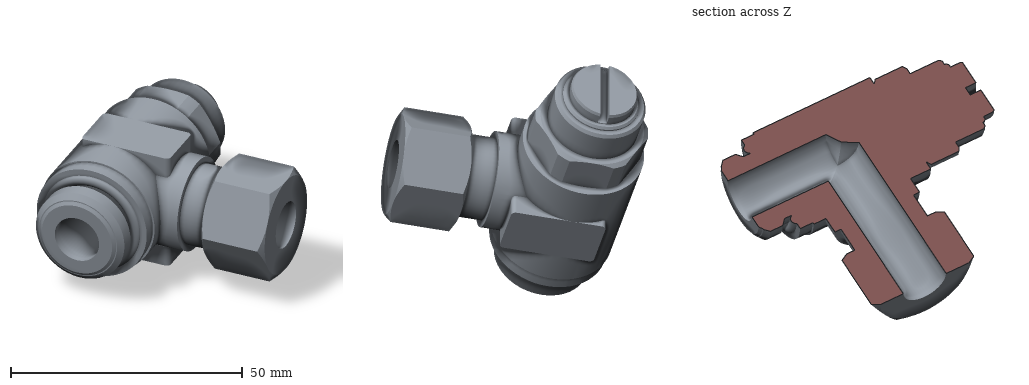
import cadquery as cq
import math

total_length = 59.05
total_width = 51.95
front_end = -24.2
back_end = front_end + total_length

body_diameter = 27.0
body_radius = body_diameter / 2
body_front = -13.45
body_back = 15.5
collar_radius = 13.05
collar_front = -16.6

seal_radius = 11.5
seal_height = 0.75

neck_radius = 9.15
thread_radius = 10.5
runout_start = -18.25
thread_back = -19.4
thread_front = -22.55
lead_in_end = -23.7
lead_in_radius = 9.25
tip_back_radius = 9.05
tip_front_radius = 8.3

bonnet_flats = 23.0
bonnet_round_radius = 12.5
bonnet_hex_back = 23.55

sleeve_radius = 10.1
sleeve_back = 31.15
sleeve_chamfer_width = 0.55
sleeve_chamfer_length = 0.65
ring_radius = 8.5
ring_height = 0.8
ring_chamfer = 0.5
screw_radius = 7.3
screw_chamfer_width = 0.3
screw_chamfer_length = 0.6
slot_width = 2.0
slot_depth = 2.6

port_collar_radius = 10.5
port_collar_end = 17.5
port_tube_radius = 9.05
nut_start = 23.5
nut_flats = 22.0
nut_end = total_width - body_radius
corner_bevel_angle = 30.0

pad_left = -7.45
pad_right = body_radius
pad_width = 11.9
pad_inner_height = 8.75
pad_corner_radius = 1.0

bore_radius = 5.25
drill_point_angle = 118.0


def cylinder_x(radius, start, end):
    return cq.Workplane("YZ", origin=(start, 0, 0)).circle(radius).extrude(end - start)


def beveled_hexagon(flats, round_radius, length):
    """Hexagon along +Z, flats facing +-Y, corners cut round and beveled at both ends."""
    face_radius = flats / 2
    bevel_length = (round_radius - face_radius) * math.tan(math.radians(corner_bevel_angle))
    prism = cq.Workplane("XY").polygon(6, flats / math.cos(math.pi / 6)).extrude(length)
    envelope = (
        cq.Workplane("XZ")
        .moveTo(0, 0)
        .lineTo(face_radius, 0)
        .lineTo(round_radius, bevel_length)
        .lineTo(round_radius, length - bevel_length)
        .lineTo(face_radius, length)
        .lineTo(0, length)
        .close()
        .revolve(360, (0, 0, 0), (0, 1, 0))
    )
    return prism.intersect(envelope)


def turned_body():
    """Everything round about the Y axis, revolved from one half outline."""
    ring_back = sleeve_back + ring_height
    seal_crest_radius = (neck_radius + seal_radius) / 2
    return (
        cq.Workplane("XY")
        .moveTo(0, front_end)
        .lineTo(tip_front_radius, front_end)
        .lineTo(tip_back_radius, lead_in_end)
        .lineTo(lead_in_radius, lead_in_end)
        .lineTo(thread_radius, thread_front)
        .lineTo(thread_radius, thread_back)
        .lineTo(neck_radius, runout_start)
        .lineTo(neck_radius, collar_front)
        .threePointArc((seal_crest_radius, collar_front - seal_height), (seal_radius, collar_front))
        .lineTo(collar_radius, collar_front)
        .lineTo(collar_radius, body_front)
        .lineTo(body_radius, body_front)
        .lineTo(body_radius, body_back)
        .lineTo(sleeve_radius, body_back)
        .lineTo(sleeve_radius, sleeve_back - sleeve_chamfer_length)
        .lineTo(sleeve_radius - sleeve_chamfer_width, sleeve_back)
        .lineTo(ring_radius, sleeve_back)
        .lineTo(ring_radius, ring_back - ring_chamfer)
        .lineTo(ring_radius - ring_chamfer, ring_back)
        .lineTo(screw_radius, ring_back)
        .lineTo(screw_radius, back_end - screw_chamfer_length)
        .lineTo(screw_radius - screw_chamfer_width, back_end)
        .lineTo(0, back_end)
        .close()
        .revolve(360, (0, 0, 0), (0, 1, 0))
    )


def bonnet_hexagon():
    """Hexagon on the Y axis behind the barrel, with flats facing +-Z."""
    length = bonnet_hex_back - body_back
    hexagon = beveled_hexagon(bonnet_flats, bonnet_round_radius, length)
    return hexagon.rotate((0, 0, 0), (1, 0, 0), -90).translate((0, body_back, 0))


def union_nut():
    """Sharp-cornered hexagon on the X axis, with flats facing +-Z."""
    corner_radius = nut_flats / 2 / math.cos(math.pi / 6)
    nut = beveled_hexagon(nut_flats, corner_radius, nut_end - nut_start)
    nut = nut.rotate((0, 0, 0), (0, 0, 1), 90).rotate((0, 0, 0), (0, 1, 0), 90)
    return nut.translate((nut_start, 0, 0))


def side_port():
    collar = cylinder_x(port_collar_radius, 0, port_collar_end)
    tube = cylinder_x(port_tube_radius, 0, nut_start)
    return collar.union(tube).union(union_nut())


def pad():
    """Upper pad, level with the top of the barrel."""
    return (
        cq.Workplane("XY", origin=((pad_left + pad_right) / 2, 0, pad_inner_height))
        .rect(pad_right - pad_left, pad_width)
        .extrude(body_radius - pad_inner_height)
        .edges("|Z")
        .fillet(pad_corner_radius)
    )


def drilled_hole(depth):
    """Drill along +Z: its conical point lies below the XY plane, its full diameter above."""
    point_length = bore_radius / math.tan(math.radians(drill_point_angle / 2))
    return (
        cq.Workplane("XZ")
        .moveTo(0, -point_length)
        .lineTo(bore_radius, 0)
        .lineTo(bore_radius, depth)
        .lineTo(0, depth)
        .close()
        .revolve(360, (0, 0, 0), (0, 1, 0))
    )


def screwdriver_slot():
    return (
        cq.Workplane("XY", origin=(0, back_end - slot_depth / 2, 0))
        .box(slot_width, slot_depth, 2 * screw_radius)
    )


outside = turned_body().union(bonnet_hexagon()).union(side_port())
upper_pad = pad()
outside = outside.union(upper_pad).union(upper_pad.mirror("XY"))

inlet = drilled_hole(-front_end).rotate((0, 0, 0), (1, 0, 0), 90)
outlet = drilled_hole(nut_end).rotate((0, 0, 0), (0, 1, 0), 90)

result = outside.cut(inlet).cut(outlet).cut(screwdriver_slot())